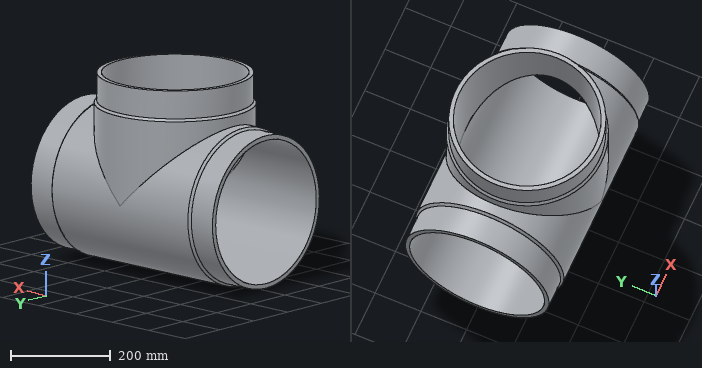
import cadquery as cq

run_length = 496.0
total_height = 409.0
body_diameter = 325.0
end_diameter = 315.0
bore_diameter = 295.5
end_length = 57.5
shoulder_length = 5.0

body_radius = body_diameter / 2
end_radius = end_diameter / 2
bore_radius = bore_diameter / 2
half_run = run_length / 2
branch_height = total_height - body_radius


def spigot_outline(length):
    """(radius, distance along axis) points from the body taper out to the mouth."""
    spigot_start = length - end_length
    return [
        (body_radius, spigot_start - shoulder_length),
        (end_radius, spigot_start),
        (end_radius, length),
        (0, length),
    ]


def revolve_about_z(outline):
    """Solid of revolution about Z from (radius, height) points."""
    return cq.Workplane("XZ").polyline(outline).close().revolve(360, (0, 0, 0), (0, 1, 0))


upper_outline = spigot_outline(half_run)
lower_outline = [(radius, -height) for radius, height in reversed(upper_outline)]
run = revolve_about_z(lower_outline + upper_outline).rotate((0, 0, 0), (0, 1, 0), 90)

branch = revolve_about_z([(0, 0), (body_radius, 0)] + spigot_outline(branch_height))

run_bore = cq.Workplane("YZ", origin=(-half_run, 0, 0)).circle(bore_radius).extrude(run_length)
branch_bore = cq.Workplane("XY").circle(bore_radius).extrude(branch_height)

result = run.union(branch).cut(run_bore).cut(branch_bore)